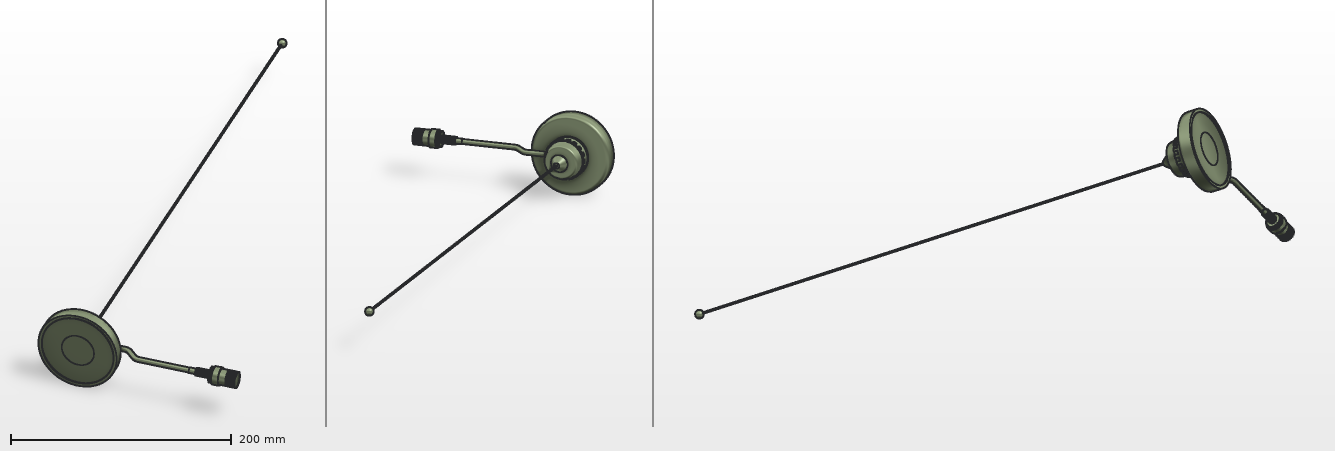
import cadquery as cq
import math


BASE_DIAMETER = 76.0
BASE_RADIUS = BASE_DIAMETER / 2
BASE_HEIGHT = 14.0
BASE_TOP_FILLET = 4.0
RIM_WIDTH = 3.0
RECESS_DEPTH = 1.0
DISC_RADIUS = 15.5
DISC_THICKNESS = 5.5

HOUSING_RADIUS = 19.0
FOOT_RADIUS = 18.5
FOOT_TOP = 16.5
HOUSING_TOP = 28.0
NOTCH_COUNT = 18
NOTCH_HEIGHT = 4.0
NOTCH_WIDTH = math.pi * HOUSING_RADIUS / NOTCH_COUNT

CAP_BOTTOM_RADIUS = 18.0
CAP_SHOULDER_RADIUS = 16.0
CAP_TOP_RADIUS = 13.5
CAP_SHOULDER = 35.5
CAP_TOP = 37.5

FERRULE_NECK_RADIUS = 6.5
FERRULE_NECK_TOP = 40.5
FERRULE_CONE_RADIUS = 8.0
FERRULE_TIP_RADIUS = 2.5
FERRULE_TOP = 48.0

WHIP_RADIUS = 0.8
BALL_RADIUS = 4.05
OVERALL_LENGTH = 538.5

CABLE_RADIUS = 2.4
CABLE_EXIT_Y = 18.0
CABLE_START_X = 16.0
BEND_START_X = 39.5
BEND_RADIUS = 7.5
BEND_ANGLE = 45.0

SLEEVE_START_X = 106.0
SLEEVE_THIN_RADIUS = 2.5
CRIMP_START_X = 112.5
CRIMP_RADIUS = 4.0
CRIMP_FLUTE_COUNT = 12

PLUG_Y = 6.5
PLUG_START_X = 126.5
OVERALL_WIDTH = 190.0
PLUG_END_X = OVERALL_WIDTH - BASE_RADIUS
PLUG_RADIUS = 7.5
COLLAR_RADIUS = 8.5
COLLAR_START_X = 130.0
COLLAR_END_X = 136.0
KNURL_START_X = 143.0
PLUG_FLUTE_COUNT = 24

FLUTE_RADIUS = 0.65

BALL_CENTRE_Y = PLUG_Y - COLLAR_RADIUS + OVERALL_LENGTH - BALL_RADIUS


def cylinder_y(radius, bottom, top):
    """A cylinder on the antenna axis from Y = bottom to Y = top."""
    return cq.Workplane("XZ", origin=(0, bottom, 0)).circle(radius).extrude(bottom - top)


def cylinder_x(radius, start, end):
    """A cylinder on the plug axis from X = start to X = end."""
    return cq.Workplane("YZ", origin=(start, PLUG_Y, 0)).circle(radius).extrude(end - start)


def make_disc():
    """A round disc let into the underside of the base, flush with the recess floor."""
    return cylinder_y(DISC_RADIUS, RECESS_DEPTH, RECESS_DEPTH + DISC_THICKNESS)


def make_base(disc):
    """A round base with a filleted top edge and a shallow recess underneath that holds the disc."""
    base = cylinder_y(BASE_RADIUS, 0, BASE_HEIGHT)
    base = base.faces(">Y").edges().fillet(BASE_TOP_FILLET)
    base = base.cut(cylinder_y(BASE_RADIUS - RIM_WIDTH, 0, RECESS_DEPTH))
    return base.cut(disc)


def make_housing(cable):
    housing = cylinder_y(FOOT_RADIUS, BASE_HEIGHT, FOOT_TOP)
    housing = housing.union(cylinder_y(HOUSING_RADIUS, FOOT_TOP, HOUSING_TOP))
    notch_depth = HOUSING_RADIUS - CAP_BOTTOM_RADIUS
    notches = (
        cq.Workplane("XZ", origin=(0, HOUSING_TOP, 0))
        .polarArray(HOUSING_RADIUS, 0, 360, NOTCH_COUNT)
        .rect(2 * notch_depth, NOTCH_WIDTH)
        .extrude(NOTCH_HEIGHT)
    )
    return housing.cut(notches).cut(cable)


def make_cap():
    bulge = (CAP_SHOULDER_RADIUS - CAP_TOP_RADIUS) * (1 - math.sqrt(0.5))
    profile = (
        cq.Workplane("XY")
        .moveTo(0, HOUSING_TOP)
        .lineTo(CAP_BOTTOM_RADIUS, HOUSING_TOP)
        .lineTo(CAP_SHOULDER_RADIUS, CAP_SHOULDER)
        .threePointArc(
            (CAP_SHOULDER_RADIUS - bulge, CAP_SHOULDER + (CAP_TOP - CAP_SHOULDER) * math.sqrt(0.5)),
            (CAP_TOP_RADIUS, CAP_TOP),
        )
        .lineTo(0, CAP_TOP)
        .close()
    )
    return profile.revolve(360, (0, 0), (0, 1))


def make_ferrule():
    profile = (
        cq.Workplane("XY")
        .moveTo(0, CAP_TOP)
        .lineTo(FERRULE_NECK_RADIUS, CAP_TOP)
        .lineTo(FERRULE_NECK_RADIUS, FERRULE_NECK_TOP)
        .lineTo(FERRULE_CONE_RADIUS, FERRULE_NECK_TOP)
        .lineTo(FERRULE_TIP_RADIUS, FERRULE_TOP)
        .lineTo(0, FERRULE_TOP)
        .close()
    )
    return profile.revolve(360, (0, 0), (0, 1))


def make_ball():
    return cq.Workplane("XY", origin=(0, BALL_CENTRE_Y, 0)).sphere(BALL_RADIUS)


def make_whip(ball):
    return cylinder_y(WHIP_RADIUS, FERRULE_TOP, BALL_CENTRE_Y).cut(ball)


def make_cable():
    """A round cable with an S-bend that drops it from its exit to the plug axis."""
    angle = math.radians(BEND_ANGLE)
    bend_run = BEND_RADIUS * math.sin(angle)
    bend_drop = BEND_RADIUS * (1 - math.cos(angle))
    half_run = BEND_RADIUS * math.sin(angle / 2)
    half_drop = BEND_RADIUS * (1 - math.cos(angle / 2))
    slope_drop = CABLE_EXIT_Y - PLUG_Y - 2 * bend_drop
    slope_start_x = BEND_START_X + bend_run
    slope_end_x = slope_start_x + slope_drop / math.tan(angle)
    bend_end_x = slope_end_x + bend_run
    path = (
        cq.Workplane("XY")
        .moveTo(CABLE_START_X, CABLE_EXIT_Y)
        .lineTo(BEND_START_X, CABLE_EXIT_Y)
        .threePointArc(
            (BEND_START_X + half_run, CABLE_EXIT_Y - half_drop),
            (slope_start_x, CABLE_EXIT_Y - bend_drop),
        )
        .lineTo(slope_end_x, PLUG_Y + bend_drop)
        .threePointArc((bend_end_x - half_run, PLUG_Y + half_drop), (bend_end_x, PLUG_Y))
        .lineTo(SLEEVE_START_X, PLUG_Y)
    )
    section = cq.Workplane("YZ", origin=(CABLE_START_X, CABLE_EXIT_Y, 0)).circle(CABLE_RADIUS)
    return section.sweep(path)


def axial_flutes(radius, count, start, end):
    """Round-bottomed grooves that knurl a cylinder on the plug axis from X = start to X = end."""
    return (
        cq.Workplane("YZ", origin=(start, PLUG_Y, 0))
        .polarArray(radius, 0, 360, count)
        .circle(FLUTE_RADIUS)
        .extrude(end - start)
    )


def make_sleeve():
    """A stepped round sleeve, knurled on its thick end, between the cable and the plug."""
    thin_end = cylinder_x(SLEEVE_THIN_RADIUS, SLEEVE_START_X, CRIMP_START_X)
    crimp = cylinder_x(CRIMP_RADIUS, CRIMP_START_X, PLUG_START_X)
    crimp = crimp.cut(axial_flutes(CRIMP_RADIUS, CRIMP_FLUTE_COUNT, CRIMP_START_X, PLUG_START_X))
    return thin_end.union(crimp)


def make_plug():
    """A round plug with a raised collar between two knurled ends."""
    plug = cylinder_x(PLUG_RADIUS, PLUG_START_X, PLUG_END_X)
    for start, end in ((PLUG_START_X, COLLAR_START_X), (KNURL_START_X, PLUG_END_X)):
        plug = plug.cut(axial_flutes(PLUG_RADIUS, PLUG_FLUTE_COUNT, start, end))
    return plug.union(cylinder_x(COLLAR_RADIUS, COLLAR_START_X, COLLAR_END_X))


disc = make_disc()
base = make_base(disc)
cable = make_cable()
housing = make_housing(cable)
cap = make_cap()
ferrule = make_ferrule()
ball = make_ball()
whip = make_whip(ball)
sleeve = make_sleeve()
plug = make_plug()

bodies = [disc, base, cable, housing, cap, ferrule, ball, whip, sleeve, plug]
result = cq.Compound.makeCompound([body.val() for body in bodies])